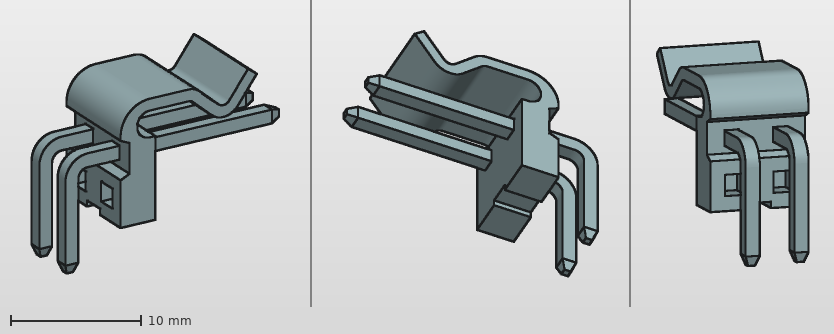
import cadquery as cq
import math


housing_width = 8.03
housing_depth = 3.13
housing_back_height = 7.0
ledge_front_height = 3.99
ledge_root_height = 4.36
overhang_root_height = 6.92
overhang_front_height = 7.29
groove_depth = 0.8

lock_top = 10.23
lock_thickness = 0.99
shoulder_radius = 2.62
throat_radius = 1.12
bend_inner_radius = 0.66
upper_bend_y = 6.08
ramp_angle = math.radians(41)
ramp_length = 2.17
lip_angle = math.radians(53.2)
lip_length = 2.84

pin_pitch = 3.96
pin_size = 1.16
pin_tip_size = 0.57
pin_tip_length = 0.82
pin_bend_radius = 2.0
pin_tail_y = 15.31
pin_front_y = -4.08
pin_top = 6.18
pin_bottom = -3.59
left_pin_shift = 0.06

pocket_size = 1.67
pocket_bottom = 1.19
pocket_depth = 2.0
notch_width = 1.9
notch_height = 0.51


def polar(center, radius, angle):
    """Point at a distance from a bend centre; the angle is measured from +Z toward +Y."""
    return (
        center[0] + radius * math.sin(angle),
        center[1] + radius * math.cos(angle),
    )


def make_housing():
    """Side profile of the housing and its friction lock, extruded along X."""
    inner = bend_inner_radius
    outer = inner + lock_thickness
    lock_underside = lock_top - lock_thickness

    upper = (upper_bend_y, lock_top - outer)
    ramp_turn = inner + outer
    lower = (
        upper[0] + ramp_turn * math.sin(ramp_angle) + ramp_length * math.cos(ramp_angle),
        upper[1] + ramp_turn * math.cos(ramp_angle) - ramp_length * math.sin(ramp_angle),
    )
    ramp_to_lower = math.pi + ramp_angle
    lip_from_lower = math.pi - lip_angle
    lip_run = (lip_length * math.cos(lip_angle), lip_length * math.sin(lip_angle))

    lip_inner_root = polar(lower, inner, lip_from_lower)
    lip_outer_root = polar(lower, outer, lip_from_lower)
    lip_inner_tip = (lip_inner_root[0] + lip_run[0], lip_inner_root[1] + lip_run[1])
    lip_outer_tip = (lip_outer_root[0] + lip_run[0], lip_outer_root[1] + lip_run[1])

    shoulder = (shoulder_radius, lock_top - shoulder_radius)
    throat = (shoulder_radius, lock_underside - throat_radius)

    profile = (
        cq.Workplane("YZ")
        .moveTo(0, 0)
        .lineTo(0, ledge_front_height)
        .lineTo(groove_depth, ledge_root_height)
        .lineTo(groove_depth, overhang_root_height)
        .lineTo(0, overhang_front_height)
        .lineTo(0, shoulder[1])
        .threePointArc(polar(shoulder, shoulder_radius, -math.pi / 4), (shoulder[0], lock_top))
        .lineTo(upper[0], lock_top)
        .threePointArc(polar(upper, outer, ramp_angle / 2), polar(upper, outer, ramp_angle))
        .lineTo(*polar(lower, inner, ramp_to_lower))
        .threePointArc(polar(lower, inner, math.pi), lip_inner_root)
        .lineTo(*lip_inner_tip)
        .lineTo(*lip_outer_tip)
        .lineTo(*lip_outer_root)
        .threePointArc(polar(lower, outer, math.pi), polar(lower, outer, ramp_to_lower))
        .lineTo(*polar(upper, inner, ramp_angle))
        .threePointArc(polar(upper, inner, ramp_angle / 2), (upper[0], lock_underside))
        .lineTo(throat[0], lock_underside)
        .threePointArc(
            (throat[0] - throat_radius, throat[1]),
            (throat[0], throat[1] - throat_radius),
        )
        .lineTo(housing_depth, housing_back_height)
        .lineTo(housing_depth, 0)
        .close()
    )
    return profile.extrude(housing_width / 2, both=True)


def box_from_front(width, height, depth, x, bottom):
    """Box centred on x that runs back from the front face of the housing."""
    return (
        cq.Workplane("XY")
        .box(width, depth, height, centered=(True, False, False))
        .translate((x, 0, bottom))
    )


def pin_tip(base_plane):
    """Tapered pin end that grows along the plane normal."""
    return (
        cq.Workplane(base_plane)
        .rect(pin_size, pin_size)
        .workplane(offset=pin_tip_length)
        .rect(pin_tip_size, pin_tip_size)
        .loft(combine=True)
    )


def make_pin(x):
    """Square pin bent through a right angle, with a tapered tip at each end."""
    tail_base_y = pin_tail_y - pin_tip_length
    foot_base_z = pin_bottom + pin_tip_length
    bend_center = (pin_front_y + pin_bend_radius, pin_top - pin_bend_radius)
    inner_radius = pin_bend_radius - pin_size

    shank = (
        cq.Workplane("YZ")
        .moveTo(tail_base_y, pin_top)
        .lineTo(bend_center[0], pin_top)
        .threePointArc(
            polar(bend_center, pin_bend_radius, -math.pi / 4),
            (pin_front_y, bend_center[1]),
        )
        .lineTo(pin_front_y, foot_base_z)
        .lineTo(pin_front_y + pin_size, foot_base_z)
        .lineTo(pin_front_y + pin_size, bend_center[1])
        .threePointArc(
            polar(bend_center, inner_radius, -math.pi / 4),
            (bend_center[0], pin_top - pin_size),
        )
        .lineTo(tail_base_y, pin_top - pin_size)
        .close()
        .extrude(pin_size / 2, both=True)
    )
    tail_plane = cq.Plane(
        origin=(0, tail_base_y, pin_top - pin_size / 2), xDir=(1, 0, 0), normal=(0, 1, 0)
    )
    foot_plane = cq.Plane(
        origin=(0, pin_front_y + pin_size / 2, foot_base_z), xDir=(1, 0, 0), normal=(0, 0, -1)
    )
    pin = shank.union(pin_tip(tail_plane)).union(pin_tip(foot_plane))
    return pin.translate((x, 0, 0))


pin_x = pin_pitch / 2

housing = make_housing()
housing = housing.cut(box_from_front(notch_width, notch_height, housing_depth, 0, 0))

for x in (-pin_x, pin_x):
    pocket = box_from_front(pocket_size, pocket_size, pocket_depth, x, pocket_bottom)
    passage = box_from_front(pin_size, pin_size, housing_depth, x, pin_top - pin_size)
    housing = housing.cut(pocket).cut(passage)

left_pin = make_pin(-pin_x).translate((0, left_pin_shift, -left_pin_shift))
right_pin = make_pin(pin_x)

result = housing.union(left_pin).union(right_pin)